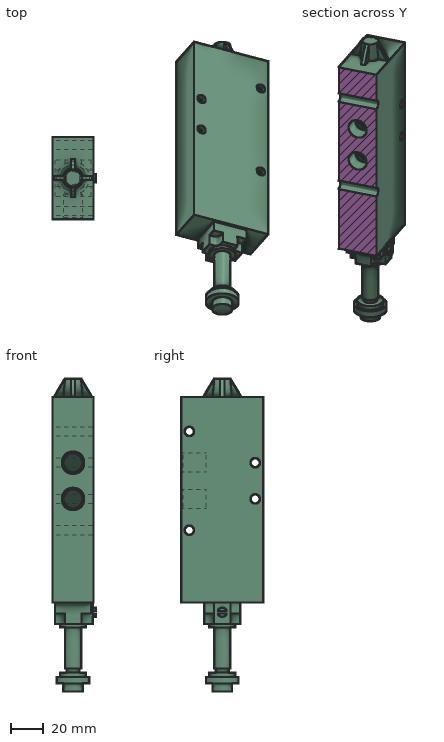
import cadquery as cq


block_width = 25.0
block_depth = 50.0
base_height = 31.0
middle_height = 86.0
cap_height = 8.0
middle_center_z = base_height + middle_height / 2
block_top_z = base_height + middle_height + cap_height

knob_height = 11.0
knob_top_diameter = 10.0
knob_base_diameter = 12.0
rib_count = 4
rib_thickness = 2.5
rib_base_reach = 11.5

port_diameter = 11.5
port_chamfer = 1.05
port_depth = 15.0
port_spacing = 22.0

mount_hole_diameter = 5.5
mount_hole_offset_y = 20.0
front_hole_spacing = 60.0
rear_hole_spacing = port_spacing

head_size = 22.0
head_plate_height = 6.5
head_cross_height = 6.5
head_height = head_plate_height + head_cross_height
arm_width = 10.0
notch_fillet = 3.0
pad_thickness = 1.0

screw_diameter = 5.5
screw_length = 2.0
screw_slot_width = 1.5
screw_z = -5.8

collar_diameter = 16.0
stem_sections = [
    (collar_diameter, 2.0),
    (10.0, 25.0),
    (8.0, 2.5),
    (collar_diameter, 2.5),
    (20.0, 4.0),
    (12.0, 5.0),
]


def make_block():
    """Stack base, middle and cap; the section joints stay as edges on the side faces."""
    block = None
    bottom_z = 0.0
    for height in (base_height, middle_height, cap_height):
        section = (
            cq.Workplane("XY")
            .workplane(offset=bottom_z)
            .rect(block_width, block_depth)
            .extrude(height)
        )
        block = section if block is None else block.union(section, clean=False)
        bottom_z += height
    return block


def make_knob():
    """Tapered round core with tapering ribs, standing on the cap."""
    top_radius = knob_top_diameter / 2
    knob = (
        cq.Workplane("XZ")
        .polyline([
            (0, 0),
            (knob_base_diameter / 2, 0),
            (top_radius, knob_height),
            (0, knob_height),
        ])
        .close()
        .revolve(360, (0, 0, 0), (0, 1, 0))
    )
    rib = (
        cq.Workplane("XZ")
        .polyline([(0, 0), (rib_base_reach, 0), (top_radius, knob_height), (0, knob_height)])
        .close()
        .extrude(rib_thickness / 2, both=True)
    )
    for index in range(rib_count):
        angle = index * 360 / rib_count
        knob = knob.union(rib.rotate((0, 0, 0), (0, 0, 1), angle))
    return knob.translate((0, 0, block_top_z))


def make_port(center_z):
    """Blind round cutter with a chamfered mouth, entering from the -Y face."""
    radius = port_diameter / 2
    return (
        cq.Workplane("XY")
        .polyline([
            (0, 0),
            (radius + port_chamfer, 0),
            (radius, port_chamfer),
            (radius, port_depth),
            (0, port_depth),
        ])
        .close()
        .revolve(360, (0, 0, 0), (0, 1, 0))
        .translate((0, -block_depth / 2, center_z))
    )


def make_mount_holes():
    """Four through holes along X: a wide pair near -Y and a close pair near +Y."""
    points = []
    for side in (-1, 1):
        points.append((-mount_hole_offset_y, middle_center_z + side * front_hole_spacing / 2))
        points.append((mount_hole_offset_y, middle_center_z + side * rear_hole_spacing / 2))
    return (
        cq.Workplane("YZ")
        .pushPoints(points)
        .circle(mount_hole_diameter / 2)
        .extrude(block_width, both=True)
    )


def make_valve():
    valve = make_block().union(make_knob(), clean=False)
    for side in (-1, 1):
        valve = valve.cut(make_port(middle_center_z + side * port_spacing / 2), clean=False)
    return valve.cut(make_mount_holes(), clean=False)


def make_head():
    """Square head with a +X pad; the lower half is notched at its corners into a cross."""
    head = cq.Workplane("XY").rect(head_size, head_size).extrude(-head_height)
    pad = (
        cq.Workplane("XY")
        .center((head_size + pad_thickness) / 2, 0)
        .rect(pad_thickness, arm_width)
        .extrude(-head_height)
    )
    head = head.union(pad)
    notch_offset = arm_width / 2 + head_size / 2
    notches = (
        cq.Workplane("XY")
        .workplane(offset=-head_height)
        .rect(2 * notch_offset, 2 * notch_offset, forConstruction=True)
        .vertices()
        .rect(head_size, head_size)
        .extrude(head_cross_height)
        .edges("|Z")
        .fillet(notch_fillet)
    )
    return head.cut(notches)


def make_screw():
    """Screw head on the pad, its slot running along Y for the full head length."""
    pad_face_x = head_size / 2 + pad_thickness
    slot = (
        cq.Workplane("YZ")
        .rect(2 * screw_diameter, screw_slot_width)
        .extrude(screw_length)
    )
    screw = cq.Workplane("YZ").circle(screw_diameter / 2).extrude(screw_length).cut(slot)
    return screw.translate((pad_face_x, 0, screw_z))


def make_stem():
    stem = cq.Workplane("XY")
    top_z = -head_height
    for diameter, length in stem_sections:
        section = cq.Workplane("XY").workplane(offset=top_z).circle(diameter / 2).extrude(-length)
        stem = stem.add(section)
        top_z -= length
    return stem.combine()


def make_operator():
    return make_head().union(make_screw()).union(make_stem())


valve = make_valve()
operator = make_operator()

result = cq.Compound.makeCompound([valve.val(), operator.val()])